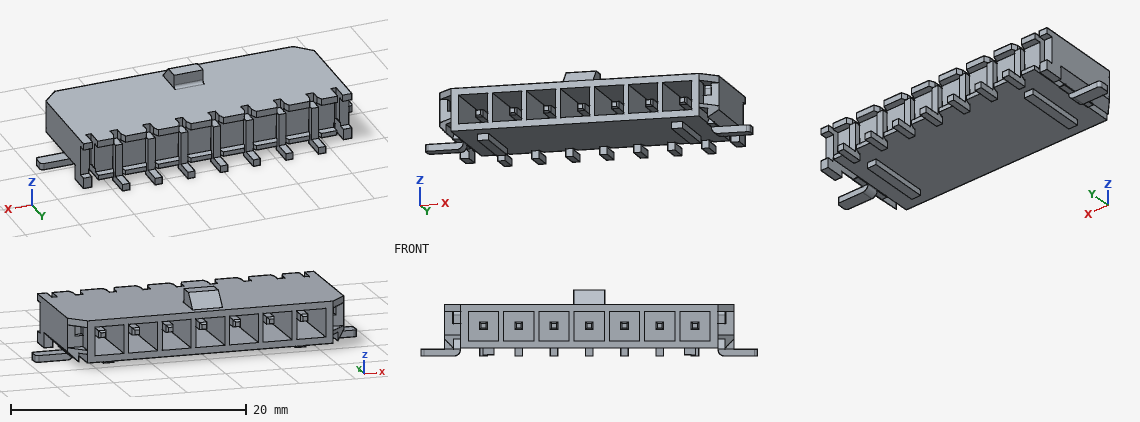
import cadquery as cq
overall_length = 28.65
overall_depth = 11.35
overall_height = 5.65

pin_count = 7
pin_row_span = 18.0
pin_pitch = pin_row_span / (pin_count - 1)
pin_positions = [i * pin_pitch - pin_row_span / 2 for i in range(pin_count)]

body_length = 24.65
body_depth = 9.88
body_bottom = 0.7
body_top = 4.4
corner_chamfer = 1.38

recess_front = 9.2
recess_bottom = 1.12
recess_top = 3.8

pocket_width = 2.58
pocket_bottom = 1.3
pocket_top = 3.8
pocket_depth = 6.88

latch_width = 2.66
latch_front = 0.77
latch_back = 3.3
latch_fillet = 0.3
latch_height = overall_height - body_top

support_bottom = 0.11
foot_front = 7.96
rail_inner = 8.08
rail_outer = 9.02
rail_front = 1.63
rail_back = 7.68

pin_size = 0.63
pin_width = 0.65
pin_height = 2.58
pin_bar_bottom = pin_height - pin_size / 2
pin_bar_top = pin_height + pin_size / 2
pin_tip = 1.72
pin_taper_length = 0.35
pin_tip_size = 0.4
pin_head_front = 8.55
pin_head_top = 3.6
pin_leg_back = 9.75
pin_leg_front = pin_leg_back - pin_size

flare_width = 1.1
flare_depth = 0.55

clip_thickness = 0.6
clip_inner = body_length / 2 - corner_chamfer
clip_outer = clip_inner + clip_thickness
clip_middle = (clip_inner + clip_outer) / 2
clip_center_depth = 4.58
clip_base_length = 3.9
clip_tab_width = 1.25
clip_tab_corner = 0.3
clip_bend_radius = 0.57
clip_bottom = clip_thickness
clip_nose_bottom = 2.78
clip_nose_radius = 0.32
clip_nose_front = 1.9
clip_top = recess_top
clip_side_gap = 0.1

groove_top = 1.45
corner_pocket_bottom = 1.8
corner_pocket_top = recess_top
end_notch_width = 0.45
end_notch_front = 8.4
edge_chamfer = body_length / 2 - clip_outer

clip_base_front = clip_center_depth - clip_base_length / 2
clip_base_back = clip_center_depth + clip_base_length / 2
clip_slope = groove_top - clip_bottom
clip_stem_front = clip_base_front + clip_slope
clip_stem_back = clip_base_back - clip_slope


def block(x_min, x_max, y_min, y_max, z_min, z_max):
    """Box between two opposite corners."""
    size = (x_max - x_min, y_max - y_min, z_max - z_min)
    return cq.Workplane("XY").box(*size, centered=False).translate((x_min, y_min, z_min))


def extrude_yz(points, x_min, x_max):
    """Prism along X with a Y-Z outline."""
    return cq.Workplane("YZ", origin=(x_min, 0, 0)).polyline(points).close().extrude(x_max - x_min)


def mirror_x(shape):
    """The same shape on the opposite end."""
    return shape.mirror("YZ")


def housing_block():
    """Chamfered block with the recess along its back face."""
    block_half = body_length / 2
    shape = block(-block_half, block_half, 0, body_depth, body_bottom, body_top)
    shape = shape.edges("|Z and <Y").chamfer(corner_chamfer)
    return shape.cut(block(-block_half, block_half, recess_front, body_depth, recess_bottom, recess_top))


def latch():
    """Ramp rising at 45 degrees from the front, with a small fillet at the foot of its back."""
    return (
        cq.Workplane("YZ", origin=(-latch_width / 2, 0, 0))
        .moveTo(latch_front, body_top)
        .lineTo(latch_front + latch_height, overall_height)
        .lineTo(latch_back, overall_height)
        .lineTo(latch_back, body_top + latch_fillet)
        .radiusArc((latch_back + latch_fillet, body_top), -latch_fillet)
        .close()
        .extrude(latch_width)
    )


def end_openings():
    """Everything cut from the left end: edge chamfer, groove, notch, corner pocket and clip slot."""
    left = -body_length / 2
    chamfer = (
        cq.Workplane("XZ")
        .polyline([
            (left, body_bottom),
            (left + edge_chamfer, body_bottom),
            (left, body_bottom + edge_chamfer),
        ])
        .close()
        .extrude(-foot_front)
    )
    groove = block(-clip_outer, -clip_inner, 0, body_depth, body_bottom, groove_top)
    notch_left = -clip_middle - end_notch_width / 2
    notch_right = notch_left + end_notch_width
    notch = block(notch_left, notch_right, end_notch_front, body_depth, body_bottom, body_top)
    corner_pocket = block(left, -clip_inner, 0, corner_chamfer, corner_pocket_bottom, corner_pocket_top)
    nose_slot = block(
        -clip_outer - clip_side_gap,
        -clip_inner + clip_side_gap,
        corner_chamfer,
        clip_stem_back,
        clip_nose_bottom,
        clip_top,
    )
    stem_slot = block(-clip_outer, -clip_inner, clip_stem_front, clip_stem_back, groove_top, clip_nose_bottom)
    return [chamfer, groove, notch, corner_pocket, nose_slot, stem_slot]


def end_supports():
    """Foot at the back of the left end, and the rail beside it."""
    foot = block(-body_length / 2, -clip_outer, foot_front, body_depth, support_bottom, body_bottom)
    rail = block(-rail_outer, -rail_inner, rail_front, rail_back, support_bottom, body_bottom)
    return [foot, rail]


def contact_openings(x):
    """Pocket, pin bore, slots for the pin's head and leg, and the flared mouth at the back."""
    left = x - pin_width / 2
    right = x + pin_width / 2
    pocket = block(x - pocket_width / 2, x + pocket_width / 2, 0, pocket_depth, pocket_bottom, pocket_top)
    bore = block(left, right, pocket_depth, pin_head_front, pin_bar_bottom, pin_bar_top)
    head_slot = block(left, right, pin_head_front, body_depth, pin_bar_bottom, body_top)
    leg_slot = block(left, right, pin_leg_front, body_depth, body_bottom, body_top)
    flare = (
        cq.Workplane("XY", origin=(0, 0, body_bottom))
        .polyline([
            (x - flare_width / 2, body_depth),
            (left, body_depth - flare_depth),
            (right, body_depth - flare_depth),
            (x + flare_width / 2, body_depth),
        ])
        .close()
        .extrude(body_top - body_bottom)
    )
    return [pocket, bore, head_slot, leg_slot, flare]


def make_housing():
    shape = housing_block().union(latch())
    for opening in end_openings():
        shape = shape.cut(opening).cut(mirror_x(opening))
    for support in end_supports():
        shape = shape.union(support).union(mirror_x(support))
    for x in pin_positions:
        for opening in contact_openings(x):
            shape = shape.cut(opening)
    return shape


def make_pin(x):
    """Bent pin: tapered contact bar, raised head, leg down to the board and solder foot."""
    bar_front = pin_tip + pin_taper_length
    outline = [
        (bar_front, pin_bar_bottom),
        (pin_leg_front, pin_bar_bottom),
        (pin_leg_front, 0),
        (overall_depth, 0),
        (overall_depth, pin_size),
        (pin_leg_back, pin_size),
        (pin_leg_back, pin_head_top),
        (pin_head_front, pin_head_top),
        (pin_head_front, pin_bar_top),
        (bar_front, pin_bar_top),
    ]
    pin = extrude_yz(outline, x - pin_width / 2, x + pin_width / 2)
    taper = (
        cq.Workplane("XZ", origin=(x, bar_front, pin_height))
        .rect(pin_width, pin_size)
        .workplane(offset=pin_taper_length)
        .rect(pin_tip_size, pin_tip_size)
        .loft()
    )
    return pin.union(taper)


def make_clip():
    """Left clip: upright plate with a rounded nose, and a tab bent out along the board."""
    plate = (
        cq.Workplane("YZ", origin=(-clip_outer, 0, 0))
        .moveTo(clip_base_front, clip_bottom)
        .lineTo(clip_base_back, clip_bottom)
        .lineTo(clip_stem_back, groove_top)
        .lineTo(clip_stem_back, clip_top)
        .lineTo(clip_nose_front + clip_nose_radius, clip_top)
        .radiusArc((clip_nose_front, clip_top - clip_nose_radius), -clip_nose_radius)
        .lineTo(clip_nose_front, clip_nose_bottom)
        .lineTo(clip_stem_front, clip_nose_bottom)
        .lineTo(clip_stem_front, groove_top)
        .close()
        .extrude(clip_thickness)
    )

    tab_front = clip_center_depth - clip_tab_width / 2
    tab_back = clip_center_depth + clip_tab_width / 2
    tab = block(-overall_length / 2, -clip_inner, tab_front, tab_back, 0, clip_thickness)
    tab = tab.edges("|Z and <X").fillet(clip_tab_corner)
    tab = tab.faces(">X").edges("<Z").fillet(clip_bend_radius)
    return plate.union(tab)


housing = make_housing()
pins = [make_pin(x) for x in pin_positions]
left_clip = make_clip()
clips = [left_clip, mirror_x(left_clip)]

result = cq.Compound.makeCompound([
    housing.solids().val(),
    *[pin.solids().val() for pin in pins],
    *[clip.solids().val() for clip in clips],
])